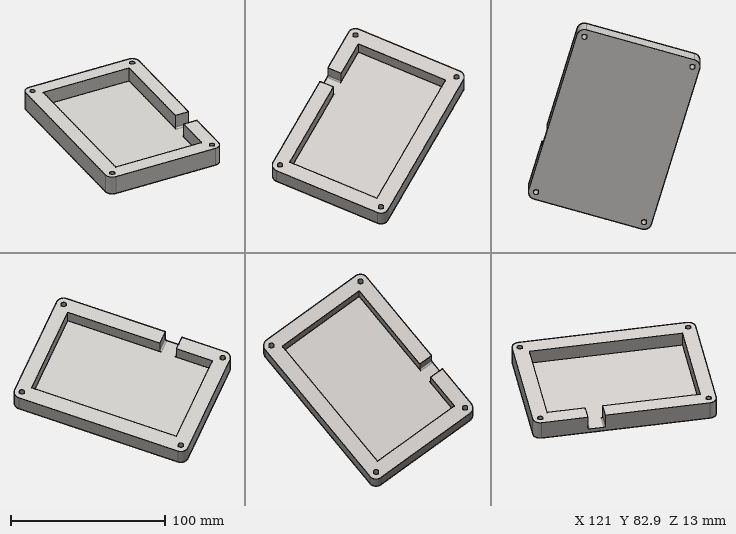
import cadquery as cq

length = 120.96
width = 82.91
height = 13.0
corner_radius = 5.0

hole_diameter = 3.4

floor_thickness = 3.0
pocket_length = 100.96
pocket_width = 62.91
wall_left = 9.7
wall_back = 9.7
pocket_depth = height - floor_thickness
pocket_left = -length / 2 + wall_left
pocket_back = width / 2 - wall_back
pocket_x = pocket_left + pocket_length / 2
pocket_y = pocket_back - pocket_width / 2

slot_width = 11.5
slot_x = 19.25
slot_fillet = 1.0


def make_body():
    return (
        cq.Workplane("XY")
        .box(length, width, height, centered=(True, True, False))
        .edges("|Z")
        .fillet(corner_radius)
    )


def make_pocket():
    return (
        cq.Workplane("XY", origin=(pocket_x, pocket_y, floor_thickness))
        .box(pocket_length, pocket_width, pocket_depth, centered=(True, True, False))
    )


def make_slot():
    """Slot cutter whose rounded lower edges leave fillets along the slot floor."""
    return (
        cq.Workplane("XY", origin=(slot_x, pocket_back, floor_thickness))
        .box(slot_width, wall_back, pocket_depth, centered=(True, False, False))
        .edges("|Y and <Z")
        .fillet(slot_fillet)
    )


def make_screw_holes():
    return (
        cq.Workplane("XY")
        .rect(length - 2 * corner_radius, width - 2 * corner_radius, forConstruction=True)
        .vertices()
        .circle(hole_diameter / 2)
        .extrude(height)
    )


result = make_body().cut(make_pocket()).cut(make_slot()).cut(make_screw_holes())